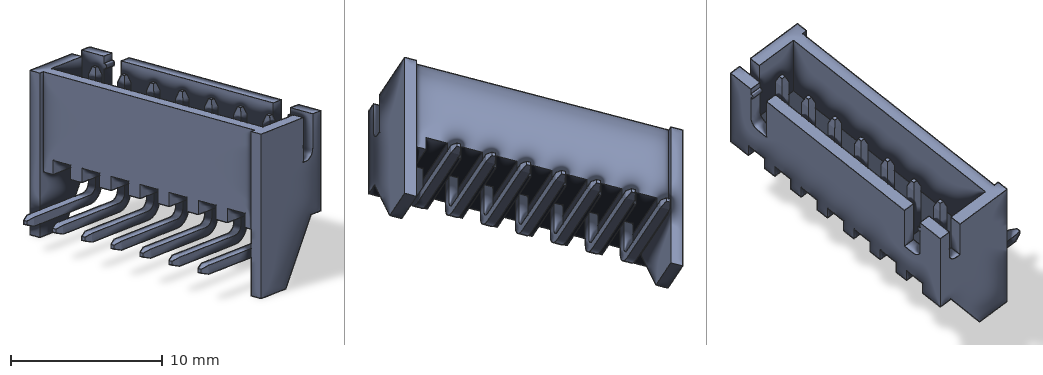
import cadquery as cq


length = 19.9
height = 11.5
plate_depth = 6.15
shroud_depth = 5.8
wall = 0.84
end_wall = 0.85
shroud_height = 7.0
notch_width = 1.51
notch_height = 1.0

heel_depth = 1.0
foot_depth = 2.55

side_slot_depth = 3.12
back_slot_depth = 3.66
slot_radius = 0.72
side_slot_width = 0.98
back_slot_width = 1.47
tab_width = 1.93
bump_height = 0.4
bump_reach = 0.2
bump_fillet = 0.14
bump_drop = 0.7

pin_count = 7
row_span = 15.0
pin_width = 0.64
tip_width = 0.28
tip_length = 0.55
pin_setback = 2.37
pin_axis_height = 2.3
pin_top_drop = 0.2
bend_radius = 0.6
overall_depth = 9.55

half_length = length / 2
inner_half_length = half_length - end_wall
shroud_bottom = height - shroud_height
floor_bottom = shroud_bottom + notch_height
floor_top = floor_bottom + wall
pin_top = height - pin_top_drop
pitch = row_span / (pin_count - 1)
pin_xs = [i * pitch - row_span / 2 for i in range(pin_count)]


def block(x_range, y_range, z_range):
    """Box spanning the given (low, high) ranges."""
    (x0, x1), (y0, y1), (z0, z1) = x_range, y_range, z_range
    return cq.Workplane("XY").box(x1 - x0, y1 - y0, z1 - z0, centered=False).translate((x0, y0, z0))


def make_shroud():
    """Open-topped box with a floor, notched below the floor at each pin."""
    shroud = block((-half_length, half_length), (-shroud_depth, 0), (shroud_bottom, height))
    cavity = block(
        (-inner_half_length, inner_half_length), (wall - shroud_depth, -wall), (floor_top, height)
    )
    shroud = shroud.cut(cavity)
    for x in pin_xs:
        notch = block(
            (x - notch_width / 2, x + notch_width / 2), (-shroud_depth, 0), (shroud_bottom, floor_bottom)
        )
        shroud = shroud.cut(notch)
    return shroud


def make_left_plate():
    """End plate with a sloped rear edge that runs down to the foot."""
    return (
        cq.Workplane("YZ", origin=(-half_length, 0, 0))
        .moveTo(0, height)
        .lineTo(0, shroud_bottom)
        .lineTo(-heel_depth, shroud_bottom)
        .lineTo(foot_depth - plate_depth, 0)
        .lineTo(-plate_depth, 0)
        .lineTo(-plate_depth, height)
        .close()
        .extrude(end_wall)
    )


def slot_profile(plane, tab_edge, far_edge, depth):
    """Slot outline, open at the top and rounded at the bottom on the tab side."""
    slot_bottom = height - depth
    direction = 1 if far_edge > tab_edge else -1
    return (
        plane.moveTo(tab_edge, height)
        .lineTo(tab_edge, slot_bottom + slot_radius)
        .radiusArc((tab_edge + direction * slot_radius, slot_bottom), -direction * slot_radius)
        .lineTo(far_edge, slot_bottom)
        .lineTo(far_edge, height)
        .close()
    )


def make_left_side_slot():
    """Slot through the end plate, in front of the tab."""
    plane = cq.Workplane("YZ", origin=(-half_length, 0, 0))
    return slot_profile(plane, -wall, -wall - side_slot_width, side_slot_depth).extrude(end_wall)


def make_left_back_slot():
    """Slot through the back wall, beside the tab."""
    tab_edge = tab_width - half_length
    far_edge = tab_edge + back_slot_width
    return slot_profile(cq.Workplane("XZ"), tab_edge, far_edge, back_slot_depth).extrude(wall)


def make_left_bump():
    """Ridge with rounded edges along the inner edge of the tab."""
    tab_edge = tab_width - half_length
    bump_z = height - bump_drop
    bump = block(
        (tab_edge, tab_edge + bump_reach),
        (-wall, 0),
        (bump_z - bump_height / 2, bump_z + bump_height / 2),
    )
    return bump.edges("|Y and >X").fillet(bump_fillet)


def both_ends(left_feature):
    """The left-end feature together with its mirror image at the right end."""
    return left_feature.union(left_feature.mirror("YZ"))


def make_tip(plane):
    """Tapered square end that grows along the normal of the given plane."""
    return (
        plane.rect(pin_width, pin_width)
        .workplane(offset=tip_length)
        .rect(tip_width, tip_width)
        .loft(ruled=True)
    )


def make_pin_blank():
    """Square pin bent through a right angle, with the upright leg at X = 0."""
    half = pin_width / 2
    outer_radius = bend_radius + pin_width
    leg_front = -pin_setback - half
    leg_rear = -pin_setback + half
    under = pin_axis_height - half
    over = pin_axis_height + half
    shoulder_y = tip_length - overall_depth
    shoulder_z = pin_top - tip_length
    shank = (
        cq.Workplane("YZ", origin=(-half, 0, 0))
        .moveTo(leg_rear, shoulder_z)
        .lineTo(leg_rear, under + outer_radius)
        .radiusArc((leg_rear - outer_radius, under), outer_radius)
        .lineTo(shoulder_y, under)
        .lineTo(shoulder_y, over)
        .lineTo(leg_front - bend_radius, over)
        .radiusArc((leg_front, over + bend_radius), -bend_radius)
        .lineTo(leg_front, shoulder_z)
        .close()
        .extrude(pin_width)
    )
    top_tip = make_tip(cq.Workplane("XY", origin=(0, -pin_setback, shoulder_z)))
    front_tip = make_tip(cq.Workplane("XZ", origin=(0, shoulder_y, pin_axis_height)))
    return shank.union(top_tip).union(front_tip)


def make_pins():
    """One separate bent pin at each position of the row."""
    blank = make_pin_blank()
    return [blank.translate((x, 0, 0)) for x in pin_xs]


def make_housing(pins):
    """Shroud, end plates and latch tabs, with a fitting hole for each pin."""
    housing = make_shroud().union(both_ends(make_left_plate()))
    housing = housing.cut(both_ends(make_left_side_slot()))
    housing = housing.cut(both_ends(make_left_back_slot()))
    housing = housing.union(both_ends(make_left_bump()))
    for pin in pins:
        housing = housing.cut(pin)
    return housing


pins = make_pins()
housing = make_housing(pins)
result = cq.Compound.makeCompound([housing.val(), *[pin.val() for pin in pins]])